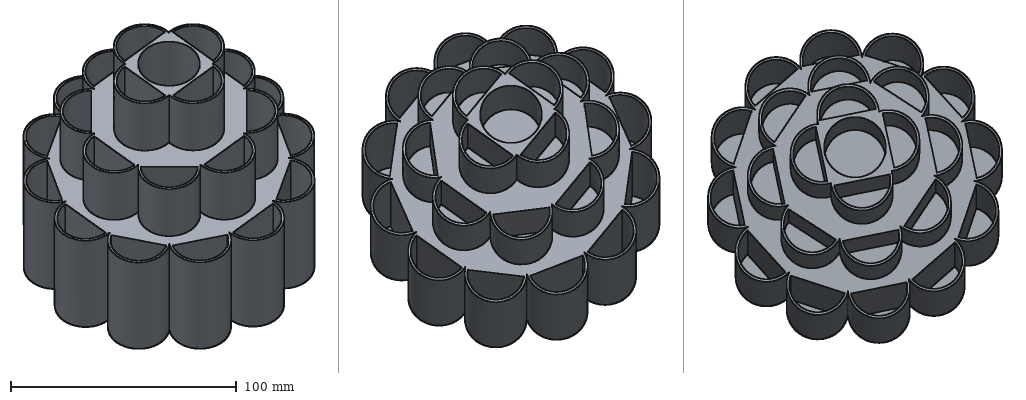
import cadquery as cq
import math

overall_width = 132.5
tube_radius = 13.8
wall = 1.2
floor_thickness = wall
pocket_radius = tube_radius - wall
center_pocket_radius = 13.6

lower_top = 55.0
middle_top = 85.0
upper_top = 115.0

lower_ring_radius = overall_width / 2 - tube_radius
middle_ring_radius = 34.5
upper_ring_radius = 15.1

first_tube_angle = 30.0


def ring_plane(angle, ring_radius, level):
    """Horizontal plane at a tube center, with its local X pointing away from the axis."""
    outward = (math.cos(math.radians(angle)), math.sin(math.radians(angle)), 0)
    origin = (ring_radius * outward[0], ring_radius * outward[1], level)
    return cq.Plane(origin=origin, xDir=outward, normal=(0, 0, 1))


def tier(tube_count, ring_radius, bottom, top):
    """Solid polygonal core whose corners each carry a tube with a half-round pocket."""
    pitch_angle = 360.0 / tube_count
    core_plane = cq.Plane(origin=(0, 0, bottom)).rotated((0, 0, first_tube_angle))
    body = cq.Workplane(core_plane).polygon(tube_count, 2 * ring_radius).extrude(top - bottom)
    tube_angles = [first_tube_angle + index * pitch_angle for index in range(tube_count)]

    for angle in tube_angles:
        tube_plane = ring_plane(angle, ring_radius, bottom)
        body = body.union(cq.Workplane(tube_plane).circle(tube_radius).extrude(top - bottom))

    for angle in tube_angles:
        pocket_plane = ring_plane(angle, ring_radius, bottom + floor_thickness)
        pocket = (
            cq.Workplane(pocket_plane)
            .moveTo(0, -pocket_radius)
            .threePointArc((pocket_radius, 0), (0, pocket_radius))
            .close()
            .extrude(top - bottom - floor_thickness)
        )
        body = body.cut(pocket)
    return body


lower_tier = tier(12, lower_ring_radius, 0, lower_top)
middle_tier = tier(8, middle_ring_radius, lower_top, middle_top)
upper_tier = tier(4, upper_ring_radius, middle_top, upper_top)

center_pocket = (
    cq.Workplane("XY")
    .workplane(offset=middle_top + floor_thickness)
    .circle(center_pocket_radius)
    .extrude(upper_top - middle_top - floor_thickness)
)

result = lower_tier.union(middle_tier).union(upper_tier).cut(center_pocket)